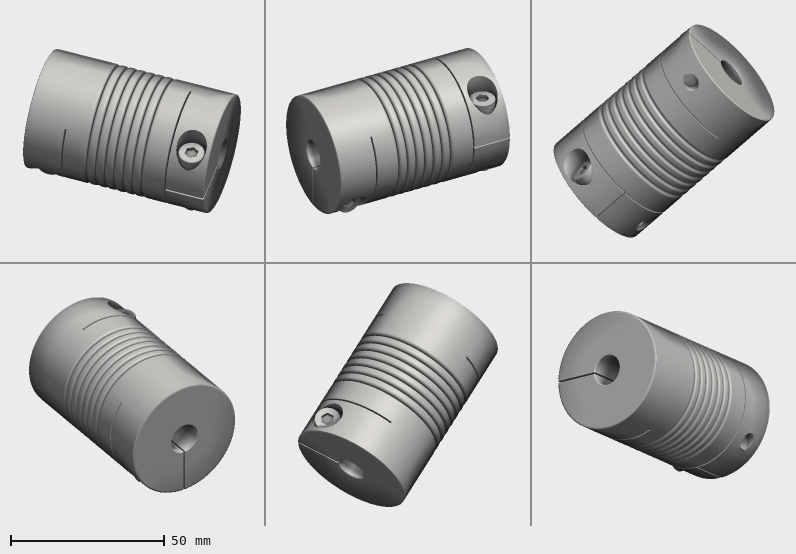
import cadquery as cq
import math

length = 62.0
outer_diameter = 40.0
bore_diameter = 10.0
end_chamfer = 0.25
bore_chamfer = 0.25

groove_count = 7
grooved_length = 21.0
groove_width = 0.2
groove_floor_radius = 15.0
groove_mouth_radius = 1.0

clamp_length = 13.0
slit_width = 0.6
left_cut_reach = 12.5
right_cut_reach = 7.5

screw_offset = 12.5
shank_diameter = 5.0
shank_length = 22.0
head_diameter = 8.5
head_height = 5.0
head_chamfer = 0.2
socket_across_flats = 4.0
socket_depth = 1.5
counterbore_diameter = 10.0
seat_distance = 8.0

outer_radius = outer_diameter / 2
end_x = length / 2
groove_half_width = groove_width / 2
groove_half_mouth = groove_half_width + groove_mouth_radius
groove_pitch = (grooved_length - 2 * groove_half_mouth) / (groove_count - 1)
screw_x = end_x - clamp_length / 2
hexagon_corner_ratio = 1 / math.cos(math.radians(30))


def place_right(shape):
    return shape.mirror("YZ").rotate((0, 0, 0), (1, 0, 0), -90)


def cylinder_along_y(diameter, start_y, height):
    """Cylinder on the left screw axis, from start_y towards +Y."""
    plane = cq.Plane(origin=(-screw_x, start_y, -screw_offset), xDir=(1, 0, 0), normal=(0, 1, 0))
    return cq.Workplane(plane).circle(diameter / 2).extrude(height)


def make_blank():
    """Cylinder with chamfered rims and a chamfered bore."""
    blank = cq.Workplane("YZ", origin=(-end_x, 0, 0)).circle(outer_radius).extrude(length)
    blank = blank.faces("<X or >X").chamfer(end_chamfer)
    bore = cq.Workplane("YZ", origin=(-end_x, 0, 0)).circle(bore_diameter / 2).extrude(length)
    blank = blank.cut(bore)
    bore_box = cq.selectors.BoxSelector(
        (-length, -bore_diameter, -bore_diameter), (length, bore_diameter, bore_diameter)
    )
    return blank.faces("<X or >X").edges(bore_box).chamfer(bore_chamfer)


def make_groove(center_x):
    """Ring with parallel sides that flares out in two arcs at the outer surface."""
    arc_start_radius = outer_radius - groove_mouth_radius
    arc_offset = groove_mouth_radius * math.sin(math.radians(45))
    arc_middle_x = groove_half_mouth - arc_offset
    arc_middle_radius = arc_start_radius + arc_offset
    profile = (
        cq.Workplane("XY", origin=(center_x, 0, 0))
        .moveTo(-groove_half_width, groove_floor_radius)
        .lineTo(groove_half_width, groove_floor_radius)
        .lineTo(groove_half_width, arc_start_radius)
        .threePointArc((arc_middle_x, arc_middle_radius), (groove_half_mouth, outer_radius))
        .lineTo(-groove_half_mouth, outer_radius)
        .threePointArc((-arc_middle_x, arc_middle_radius), (-groove_half_width, arc_start_radius))
        .close()
    )
    return profile.revolve(360, (0, 0, 0), (1, 0, 0))


def make_clamp_cuts(cut_reach):
    """Slit, cross cut and screw hole of the left clamp."""
    slit = cq.Workplane("XY").box(clamp_length, slit_width, outer_radius, centered=(False, True, False))
    slit = slit.translate((-end_x, 0, -outer_radius))
    cross_cut = cq.Workplane("XY").box(
        slit_width, outer_diameter, outer_radius + cut_reach, centered=(False, True, False)
    )
    cross_cut = cross_cut.translate((clamp_length - end_x, 0, -outer_radius))
    screw_hole = cylinder_along_y(shank_diameter, -outer_radius, outer_diameter)
    counterbore = cylinder_along_y(counterbore_diameter, -outer_radius, outer_radius - seat_distance)
    return [slit, cross_cut, screw_hole, counterbore]


def make_coupling():
    coupling = make_blank()
    for index in range(groove_count):
        center_x = (index - (groove_count - 1) / 2) * groove_pitch
        coupling = coupling.cut(make_groove(center_x))
    for cutter in make_clamp_cuts(left_cut_reach):
        coupling = coupling.cut(cutter)
    for cutter in make_clamp_cuts(right_cut_reach):
        coupling = coupling.cut(place_right(cutter))
    return coupling


def make_screw():
    """Socket head screw seated in the left clamp."""
    head_face_y = -seat_distance - head_height
    head = cylinder_along_y(head_diameter, head_face_y, head_height).faces("<Y").edges().chamfer(head_chamfer)
    shank = cylinder_along_y(shank_diameter, -seat_distance, shank_length)
    socket_plane = cq.Plane(
        origin=(-screw_x, head_face_y, -screw_offset), xDir=(0, 0, 1), normal=(0, 1, 0)
    )
    socket_diameter = socket_across_flats * hexagon_corner_ratio
    socket = cq.Workplane(socket_plane).polygon(6, socket_diameter).extrude(socket_depth)
    return head.union(shank).cut(socket)


coupling = make_coupling()
left_screw = make_screw()
right_screw = place_right(make_screw())

result = cq.Compound.makeCompound([coupling.val(), left_screw.val(), right_screw.val()])